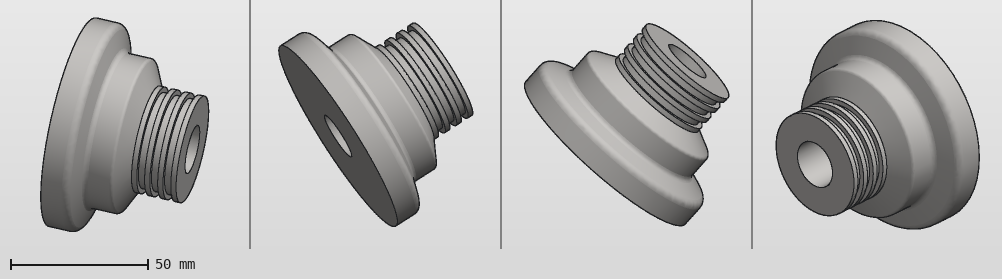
import cadquery as cq

total_length = 45.7
flange_radius = 39.0
hub_radius = 29.0
spigot_radius = 20.0
groove_radius = 18.0
bore_radius = 9.0

flange_end = 10.15
hub_start = 13.6
hub_end = 23.9

flange_rounding = 3.0
hub_root_rounding = 2.0
hub_rounding = 1.4

groove_count = 3
rib_width = 2.0
groove_width = 3.0
rib_pitch = rib_width + groove_width
spigot_start = total_length - groove_count * rib_pitch - rib_width


def turned_body():
    """Revolve the stepped outline about X."""
    outline = [
        (0, 0),
        (0, flange_radius),
        (flange_end, flange_radius),
        (hub_start, hub_radius),
        (hub_end, hub_radius),
        (spigot_start, spigot_radius),
        (total_length, spigot_radius),
        (total_length, 0),
    ]
    return cq.Workplane("XY").polyline(outline).close().revolve(360, (0, 0, 0), (1, 0, 0))


def round_corner(body, corner_x, radius):
    """Round the circular edge lying in the plane X = corner_x."""
    margin = 0.1
    slab = cq.selectors.BoxSelector(
        (corner_x - margin, -flange_radius, -flange_radius),
        (corner_x + margin, flange_radius, flange_radius),
    )
    return body.edges("%CIRCLE").edges(slab).fillet(radius)


def groove(start_x):
    """Ring that cuts one groove into the spigot."""
    return (
        cq.Workplane("YZ", origin=(start_x, 0, 0))
        .circle(spigot_radius + 0.8)
        .circle(groove_radius)
        .extrude(groove_width)
    )


result = turned_body()

result = round_corner(result, flange_end, flange_rounding)
result = round_corner(result, hub_start, hub_root_rounding)
result = round_corner(result, hub_end, hub_rounding)

for index in range(groove_count):
    result = result.cut(groove(spigot_start + rib_width + index * rib_pitch))

bore = cq.Workplane("YZ").circle(bore_radius).extrude(total_length)
result = result.cut(bore)